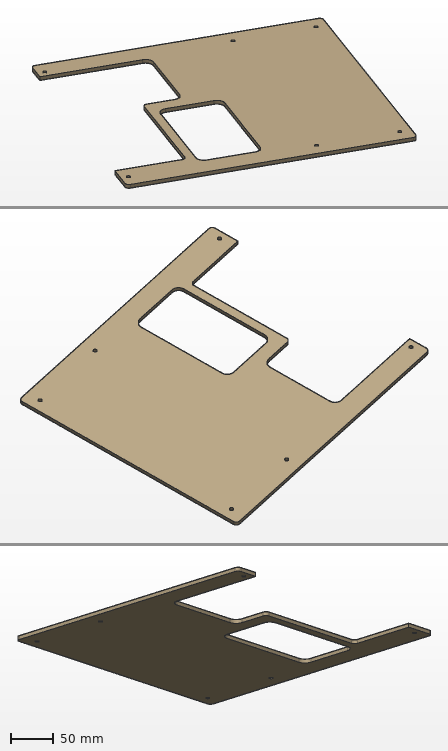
import cadquery as cq

width = 330.0
depth = 367.5
thickness = 5.0
corner_radius = 5.0

left_leg_width = 30.0
right_leg_width = 40.0
step_x = 140.0
deep_notch_depth = 140.0
shallow_notch_depth = 90.0
deep_notch_radius = 10.0
shallow_notch_radius = 5.0

window_width = 142.0
window_height = 81.0
window_left = 159.0
window_front = 102.0
window_radius = 10.0

hole_diameter = 4.5
hole_side_inset = 20.0
front_hole_inset = 10.0
middle_hole_inset = 120.0
back_hole_inset = 15.0
hole_rows = (front_hole_inset, depth - middle_hole_inset, depth - back_hole_inset)


def block(x_min, x_max, y_min, y_max):
    """Box of full plate thickness between the given X and Y limits."""
    return cq.Workplane("XY").box(
        x_max - x_min, y_max - y_min, thickness, centered=False
    ).translate((x_min, y_min, 0))


def make_plate():
    return block(0, width, 0, depth).edges("|Z").fillet(corner_radius)


def make_notch():
    """Deep bay on the left and a shallow bay on the right, joined by a rounded step."""
    right_x = width - right_leg_width
    deep_bay = block(left_leg_width, step_x, 0, deep_notch_depth)
    deep_bay = deep_bay.edges("|Z and >Y").fillet(deep_notch_radius)
    shallow_bay = block(left_leg_width, right_x, 0, shallow_notch_depth)
    notch = deep_bay.union(shallow_bay).clean()
    margin = 1.0
    step_corners = cq.selectors.BoxSelector(
        (step_x - margin, shallow_notch_depth - margin, -margin),
        (right_x + margin, shallow_notch_depth + margin, thickness + margin),
    )
    return notch.edges(step_corners).edges("|Z").fillet(shallow_notch_radius)


def make_window():
    window = block(
        window_left, window_left + window_width, window_front, window_front + window_height
    )
    return window.edges("|Z").fillet(window_radius)


def make_holes():
    centers = [(x, y) for x in (hole_side_inset, width - hole_side_inset) for y in hole_rows]
    return cq.Workplane("XY").pushPoints(centers).circle(hole_diameter / 2).extrude(thickness)


centered_offset = (-width / 2, -depth / 2, -thickness / 2)
plate = make_plate().cut(make_notch()).cut(make_window()).cut(make_holes())
result = plate.translate(centered_offset)